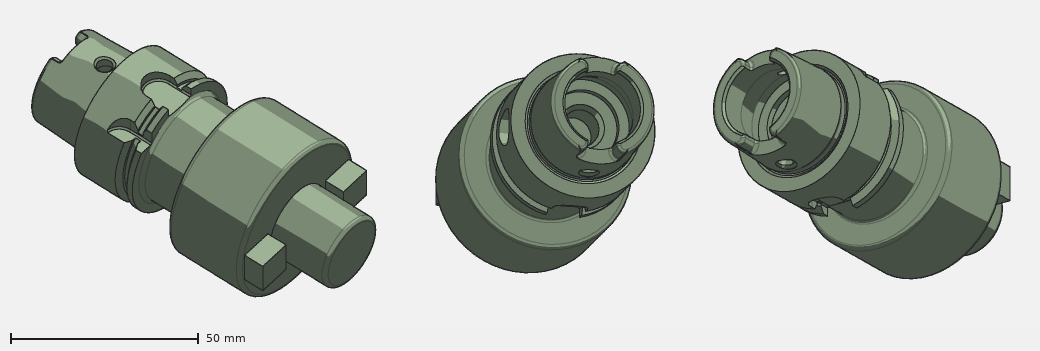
import cadquery as cq
import math


selection_gap = 0.01

gauge_radius = 15.0
taper_end = 17.9
tip_radius = 14.2
taper_slope = (gauge_radius - tip_radius) / taper_end
tip_fillet = 0.8
neck_radius = 14.8
neck_start = 18.6
neck_recess_depth = 0.4
neck_recess_radius = 16.0
neck_recess_floor_radius = 15.3

flange_radius = 20.0
flange_start = 19.8
flange_end = 39.8
groove_floor_radius = 17.4
groove_cone_radius = 18.2
groove_start = 33.8
groove_end = 37.9
groove_floor_width = 1.7
groove_middle = (groove_start + groove_end) / 2

shaft_radius = 16.0
shaft_flange_fillet = 1.2
shaft_drum_fillet = 0.8
drum_radius = 48.0 / 2
drum_start = 55.3
drum_end = 80.0
drum_fillet = 1.2
pilot_radius = 11.0
pilot_fillet = 1.2
total_length = 98.9

mouth_radius = 10.5
mouth_chamfer = 0.7
clamp_cone_start = 7.9
clamp_cone_end = 15.8
clamp_radius = 12.6
clamp_end = 18.8
bore_floor_radius = 9.7
bore_floor = 20.8
core_radius = 5.0
core_chamfer = 1.2
core_end = 29.7

access_position = 13.8
access_radius = 4.45 / 2
access_chamfer = 0.8

drive_half_width = 4.1
drive_floor_distance = 7.9
drive_outer_round = 2.0
drive_edge_fillet = 0.9
upper_drive_depth = 3.7
lower_drive_depth = 5.8

slot_start = 27.7
slot_width = 9.5
slot_floor_height = 16.5
slot_floor_chamfer = 0.5
notch_distance = 11.8

pocket_position = 26.6
pocket_radius = 4.9
pocket_depth = 4.5

key_width = 9.9
key_inner = 12.1
key_outer = 21.9
key_length = 6.2


def ring_edges(solid, x, radius):
    """Circular edges of the given radius lying in the plane at x."""
    box = cq.selectors.BoxSelector(
        (x - selection_gap, -radius - selection_gap, -radius - selection_gap),
        (x + selection_gap, radius + selection_gap, radius + selection_gap),
        boundingbox=True,
    )
    return solid.edges(box).edges(cq.selectors.RadiusNthSelector(-1))


def turned_body():
    half_floor = groove_floor_width / 2
    body = (
        cq.Workplane("XY")
        .polyline([
            (0, 0),
            (0, tip_radius),
            (taper_end, gauge_radius),
            (neck_start, neck_radius),
            (flange_start + neck_recess_depth, neck_radius),
            (flange_start + neck_recess_depth, neck_recess_floor_radius),
            (flange_start, neck_recess_radius),
            (flange_start, flange_radius),
            (groove_start, flange_radius),
            (groove_middle - half_floor, groove_cone_radius),
            (groove_middle - half_floor, groove_floor_radius),
            (groove_middle + half_floor, groove_floor_radius),
            (groove_middle + half_floor, groove_cone_radius),
            (groove_end, flange_radius),
            (flange_end, flange_radius),
            (flange_end, shaft_radius),
            (drum_start, shaft_radius),
            (drum_start, drum_radius),
            (drum_end, drum_radius),
            (drum_end, pilot_radius),
            (total_length, pilot_radius),
            (total_length, 0),
        ])
        .close()
        .revolve(360, (0, 0, 0), (1, 0, 0))
    )
    for x, radius, fillet in [
        (0, tip_radius, tip_fillet),
        (flange_end, shaft_radius, shaft_flange_fillet),
        (drum_start, shaft_radius, shaft_drum_fillet),
        (drum_start, drum_radius, drum_fillet),
        (drum_end, drum_radius, drum_fillet),
        (total_length, pilot_radius, pilot_fillet),
    ]:
        body = ring_edges(body, x, radius).fillet(fillet)
    return body


def bore():
    return (
        cq.Workplane("XY")
        .polyline([
            (0, 0),
            (0, mouth_radius + mouth_chamfer),
            (mouth_chamfer, mouth_radius),
            (clamp_cone_start, mouth_radius),
            (clamp_cone_end, clamp_radius),
            (clamp_end, clamp_radius),
            (clamp_end, bore_floor_radius),
            (bore_floor, bore_floor_radius),
            (bore_floor, core_radius + core_chamfer),
            (bore_floor + core_chamfer, core_radius),
            (core_end, core_radius),
            (core_end, 0),
        ])
        .close()
        .revolve(360, (0, 0, 0), (1, 0, 0))
    )


def access_holes():
    """Drilled hole through both walls, chamfered where it meets the taper."""
    surface_radius = tip_radius + taper_slope * access_position
    outer_radius = access_radius + access_chamfer
    half_hole = (
        cq.Workplane("XZ")
        .polyline([
            (0, 0),
            (access_radius, 0),
            (access_radius, surface_radius - access_chamfer),
            (outer_radius, surface_radius),
            (outer_radius, flange_radius),
            (0, flange_radius),
        ])
        .close()
        .revolve(360, (0, 0, 0), (0, 1, 0))
        .translate((access_position, 0, 0))
    )
    return half_hole.union(half_hole.mirror("XY"))


def drive_slot(depth):
    """Cutter for the +Z driving slot, its sides flaring round into the taper surface."""
    rounding_height = math.sqrt(
        (tip_radius - drive_outer_round) ** 2 - (drive_half_width + drive_outer_round) ** 2
    )
    flare_half_width = drive_half_width + drive_outer_round
    flare_height = rounding_height + drive_outer_round
    mid_offset = drive_outer_round * math.sqrt(0.5)
    mid_half_width = flare_half_width - mid_offset
    mid_height = rounding_height + mid_offset
    slot = (
        cq.Workplane("YZ")
        .moveTo(-drive_half_width, drive_floor_distance)
        .lineTo(drive_half_width, drive_floor_distance)
        .lineTo(drive_half_width, rounding_height)
        .threePointArc((mid_half_width, mid_height), (flare_half_width, flare_height))
        .lineTo(flare_half_width, flange_radius)
        .lineTo(-flare_half_width, flange_radius)
        .lineTo(-flare_half_width, flare_height)
        .threePointArc((-mid_half_width, mid_height), (-drive_half_width, rounding_height))
        .close()
        .extrude(depth)
    )
    slot = slot.faces(">X").edges("not <Z").edges("not >Z").fillet(drive_edge_fillet)

    margin = 2 * drive_edge_fillet
    slab_floor = drive_floor_distance - margin
    slab = cq.Workplane("XY").box(
        margin, 2 * (flare_half_width + margin), flange_radius - slab_floor, centered=(False, True, False)
    ).translate((-margin, 0, slab_floor))
    mouth_edges = cq.selectors.BoxSelector(
        (-selection_gap, -flare_half_width - selection_gap, drive_floor_distance - selection_gap),
        (selection_gap, flare_half_width + selection_gap, flange_radius - selection_gap),
    )
    return slab.union(slot).edges(mouth_edges).fillet(drive_edge_fillet)


def flange_slot(floor_height):
    """Cutter open towards +X and +Z, centred on y = 0, with a round end and chamfered floor edge."""
    end_radius = slot_width / 2
    return (
        cq.Workplane("XY", origin=(0, 0, floor_height))
        .moveTo(drum_start, -end_radius)
        .lineTo(slot_start + end_radius, -end_radius)
        .threePointArc((slot_start, 0), (slot_start + end_radius, end_radius))
        .lineTo(drum_start, end_radius)
        .close()
        .extrude(drum_radius - floor_height)
        .faces("<Z")
        .chamfer(slot_floor_chamfer)
    )


def side_pocket():
    return (
        cq.Workplane("XZ", origin=(pocket_position, flange_radius, 0))
        .circle(pocket_radius)
        .extrude(pocket_depth)
    )


def drive_key():
    return cq.Workplane("XY").box(
        key_length, key_outer - key_inner, key_width, centered=(False, True, True)
    ).translate((drum_end, (key_inner + key_outer) / 2, 0))


result = turned_body().cut(bore()).cut(access_holes())

result = result.cut(drive_slot(upper_drive_depth))
result = result.cut(drive_slot(lower_drive_depth).mirror("XY"))

upper_slot = flange_slot(slot_floor_height)
notch_centre = notch_distance + slot_width / 2
corner_notch = flange_slot(notch_distance).translate((0, -notch_centre, 0))
for cutter in (upper_slot, upper_slot.mirror("XY"), corner_notch, side_pocket()):
    result = result.cut(cutter)

key = drive_key()
result = result.union(key).union(key.mirror("XZ"))